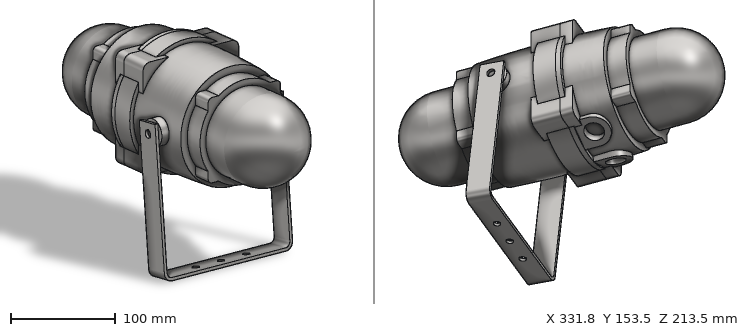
import cadquery as cq
import math


LENGTH = 331.8
DOME_RADIUS = 92.2 / 2
LEFT_END = -142.5
RIGHT_END = LEFT_END + LENGTH
BARREL_LEFT = -47.0
BARREL_RIGHT = 94.2
BARREL_MIDDLE = (BARREL_LEFT + BARREL_RIGHT) / 2
BARREL_END_RADIUS = 61.0
BARREL_MIDDLE_RADIUS = 63.5
COLLAR_WIDTH = 20.0
COLLAR_RADIUS = 53.0
COLLAR_SQUARE = 86.5
COLLAR_FILLET = 5.0

RING_LEFT = -5.3
RING_RIGHT = 23.2
RING_RADIUS = 68.0
FLANGE_LEFT = -13.0
FLANGE_RIGHT = 30.2
FLANGE_SQUARE = 114.8
FLANGE_FILLET = 8.3

PAD_ANGLE = 22.5
PAD_FACE_RADIUS = 66.5
PAD_HALF_WIDTH = 16.5
PAD_DEPTH = 10.0
PAD_HOLE_X = -21.5
PAD_HOLE_DIAMETER = 20.0
PAD_HOLE_DEPTH = 10.0

PIVOT_X = 63.5
BOSS_DIAMETER = 28.0
BOSS_FACE_Y = 70.7
SPACER_DIAMETER = 13.0
BRACKET_SPAN = 153.5
STRAP_THICKNESS = 3.3
STRAP_WIDTH = 25.0
STRAP_ABOVE_PIVOT = 11.5
STRAP_BELOW_PIVOT = 145.0
BEND_RADIUS = 9.0
BRACKET_TILT = 5.7
PIVOT_HOLE_DIAMETER = 8.3
BASE_HOLE_DIAMETER = 7.0
BASE_HOLE_SPACING = 30.2
STRAP_INNER_Y = BRACKET_SPAN / 2 - STRAP_THICKNESS


def cylinder_along_x(radius, left, right):
    return cq.Workplane("YZ").workplane(offset=left).circle(radius).extrude(right - left)


def rounded_square_along_x(side, fillet, left, right):
    bar = cq.Workplane("YZ").workplane(offset=left).rect(side, side).extrude(right - left)
    return bar.edges("|X").fillet(fillet)


def domed_tube():
    quarter = DOME_RADIUS * math.sqrt(0.5)
    left_centre = LEFT_END + DOME_RADIUS
    right_centre = RIGHT_END - DOME_RADIUS
    return (
        cq.Workplane("XY")
        .moveTo(LEFT_END, 0)
        .threePointArc((left_centre - quarter, quarter), (left_centre, DOME_RADIUS))
        .lineTo(right_centre, DOME_RADIUS)
        .threePointArc((right_centre + quarter, quarter), (RIGHT_END, 0))
        .close()
        .revolve(360, (0, 0, 0), (1, 0, 0))
    )


def barrel():
    return (
        cq.Workplane("XY")
        .moveTo(BARREL_LEFT, 0)
        .lineTo(BARREL_LEFT, BARREL_END_RADIUS)
        .threePointArc((BARREL_MIDDLE, BARREL_MIDDLE_RADIUS), (BARREL_RIGHT, BARREL_END_RADIUS))
        .lineTo(BARREL_RIGHT, 0)
        .close()
        .revolve(360, (0, 0, 0), (1, 0, 0))
    )


def collar(left):
    right = left + COLLAR_WIDTH
    lugs = rounded_square_along_x(COLLAR_SQUARE, COLLAR_FILLET, left, right)
    return cylinder_along_x(COLLAR_RADIUS, left, right).union(lugs)


def flange():
    lugs = rounded_square_along_x(FLANGE_SQUARE, FLANGE_FILLET, FLANGE_LEFT, FLANGE_RIGHT)
    return cylinder_along_x(RING_RADIUS, RING_LEFT, RING_RIGHT).union(lugs)


def envelope():
    """Both housings together, before the joint at X = 0 divides them."""
    body = domed_tube().union(barrel()).union(flange())
    for left in (BARREL_LEFT - COLLAR_WIDTH, BARREL_RIGHT):
        body = body.union(collar(left))
    return body


def pad_plane(side):
    """Plane on the pad face, normal pointing away from the lamp axis."""
    angle = math.radians(PAD_ANGLE)
    outward = cq.Vector(0, side * math.sin(angle), -math.cos(angle))
    return cq.Plane(origin=outward * PAD_FACE_RADIUS, xDir=(1, 0, 0), normal=outward)


def cable_pad(side):
    return (
        cq.Workplane(pad_plane(side))
        .moveTo(RING_LEFT, PAD_HALF_WIDTH)
        .lineTo(PAD_HOLE_X, PAD_HALF_WIDTH)
        .threePointArc((PAD_HOLE_X - PAD_HALF_WIDTH, 0), (PAD_HOLE_X, -PAD_HALF_WIDTH))
        .lineTo(RING_LEFT, -PAD_HALF_WIDTH)
        .close()
        .extrude(-PAD_DEPTH)
    )


def cable_hole(side):
    return (
        cq.Workplane(pad_plane(side))
        .center(PAD_HOLE_X, 0)
        .circle(PAD_HOLE_DIAMETER / 2)
        .extrude(-PAD_HOLE_DEPTH)
    )


def left_housing():
    body = envelope().intersect(cylinder_along_x(LENGTH, LEFT_END, 0))
    for side in (-1, 1):
        body = body.union(cable_pad(side)).cut(cable_hole(side))
    return body


def cross_cylinder(diameter, half_length):
    """Cylinder along Y, centred on the origin."""
    return cq.Workplane("XZ").circle(diameter / 2).extrude(half_length, both=True)


def right_housing():
    body = envelope().intersect(cylinder_along_x(LENGTH, 0, RIGHT_END))
    bosses = cross_cylinder(BOSS_DIAMETER, BOSS_FACE_Y).translate((PIVOT_X, 0, 0))
    spacers = cross_cylinder(SPACER_DIAMETER, STRAP_INNER_Y).translate((PIVOT_X, 0, 0))
    return body.union(bosses).union(spacers)


def bracket():
    """U-shaped strap, built upright around the pivot and then tilted about it."""
    height = STRAP_ABOVE_PIVOT + STRAP_BELOW_PIVOT
    middle_z = (STRAP_ABOVE_PIVOT - STRAP_BELOW_PIVOT) / 2
    outer = (
        cq.Workplane("XY")
        .box(STRAP_WIDTH, BRACKET_SPAN, height)
        .edges("|X and <Z")
        .fillet(BEND_RADIUS)
    )
    inner = (
        cq.Workplane("XY")
        .box(STRAP_WIDTH, 2 * STRAP_INNER_Y, height)
        .edges("|X and <Z")
        .fillet(BEND_RADIUS - STRAP_THICKNESS)
        .translate((0, 0, STRAP_THICKNESS))
    )
    pivot_holes = cross_cylinder(PIVOT_HOLE_DIAMETER, BRACKET_SPAN / 2)
    base_holes = (
        cq.Workplane("XY")
        .workplane(offset=-STRAP_BELOW_PIVOT)
        .rarray(3.3, BASE_HOLE_SPACING, 1, 3)
        .circle(BASE_HOLE_DIAMETER / 2)
        .extrude(STRAP_THICKNESS)
    )
    strap = outer.cut(inner).translate((0, 0, middle_z)).cut(pivot_holes).cut(base_holes)
    return strap.rotate((0, 0, 0), (0, 1, 0), -BRACKET_TILT).translate((PIVOT_X, 0, 0))


result = cq.Compound.makeCompound([
    left_housing().solids().val(),
    right_housing().solids().val(),
    bracket().solids().val(),
])